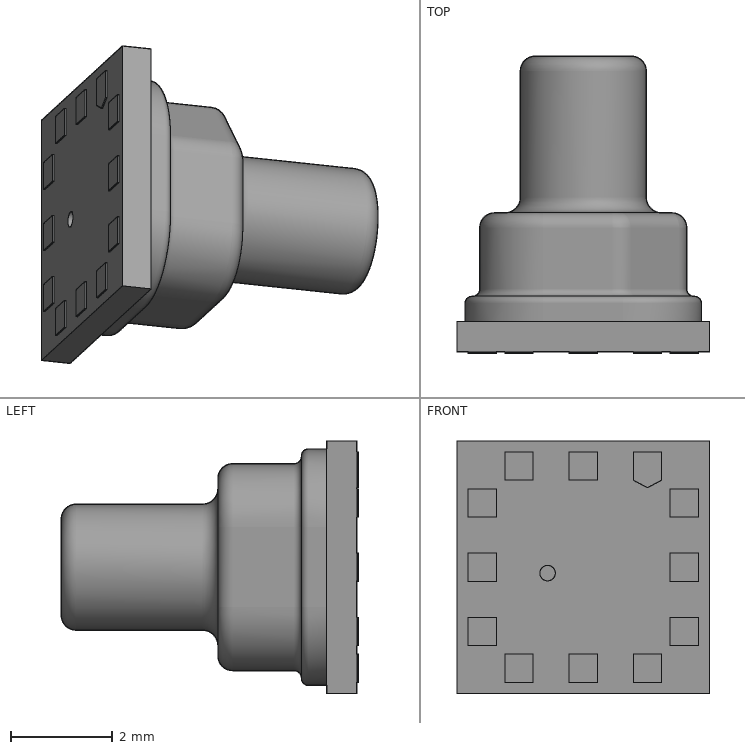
import cadquery as cq

total_length = 5.88
pad_height = 0.03
plate_side = 5.0
plate_thickness = 0.6
flange_side = 4.68
flange_height = 0.5
body_side = 4.1
body_height = 1.65
tube_diameter = 2.5

corner_center = 0.795
large_fillet = 0.3
small_fillet = 0.14
cut_corner_radius = 0.5

pad_side = 0.56
pad_pitch = 1.27
pad_row_offset = 2.0
pad_point_height = 0.145
vent_diameter = 0.305
vent_depth = plate_thickness
vent_x = -0.705
vent_z = -0.12

flange_start = plate_thickness
body_start = flange_start + flange_height
tube_start = body_start + body_height
tube_height = total_length - pad_height - tube_start


def sketch_at(y):
    """Sketch plane at height y with local axes X and Z; negative extrusions grow toward +Y."""
    return cq.Workplane("XZ", origin=(0, y, 0))


def square_block(side, start, height):
    return sketch_at(start).rect(side, side).extrude(-height)


def make_flange():
    """Square flange with four round corners and a rounded top edge."""
    flange = square_block(flange_side, flange_start, flange_height)
    flange = flange.edges("|Y").fillet(flange_side / 2 - corner_center)
    return flange.faces(">Y").edges().fillet(small_fillet)


def make_body():
    """Square body with three round corners; the +X +Z corner is cut off at 45 degrees."""
    corner_size = body_side / 2 - corner_center
    body = square_block(body_side, body_start, body_height)
    body = body.edges("|Y and (<X or <Z)").fillet(corner_size)
    body = body.edges("|Y and >X and >Z").chamfer(corner_size)
    body = body.faces(">(1, 0, 1)").edges("|Y").fillet(cut_corner_radius)
    return body.faces(">Y").edges().fillet(large_fillet)


def make_tube():
    """Round tube with a rounded tip."""
    tube = sketch_at(tube_start).circle(tube_diameter / 2).extrude(-tube_height)
    return tube.faces(">Y").edges().fillet(large_fillet)


def fillet_root(solid, y, width, radius):
    """Fill the inside corner at height y around a feature of the given width."""
    margin = small_fillet / 2
    reach = width / 2 + margin
    lower_corner = (-reach, y - margin, -reach)
    upper_corner = (reach, y + margin, reach)
    root_box = cq.selectors.BoxSelector(lower_corner, upper_corner, boundingbox=True)
    return solid.edges(root_box).fillet(radius)


def make_pads():
    """Three square pads along each side; the one at +X +Z ends in a point toward the center."""
    steps = [-pad_pitch, 0, pad_pitch]
    rows = [-pad_row_offset, pad_row_offset]
    centers = [(x, z) for x in steps for z in rows]
    centers += [(x, z) for x in rows for z in steps]
    pads = sketch_at(0).pushPoints(centers).rect(pad_side, pad_side).extrude(pad_height)

    point_base = pad_row_offset - pad_side / 2
    point = (
        sketch_at(0)
        .moveTo(pad_pitch - pad_side / 2, point_base)
        .lineTo(pad_pitch + pad_side / 2, point_base)
        .lineTo(pad_pitch, point_base - pad_point_height)
        .close()
        .extrude(pad_height)
    )
    return pads.union(point)


def make_vent():
    """Vent hole from the pad face through the base plate."""
    return sketch_at(0).center(vent_x, vent_z).circle(vent_diameter / 2).extrude(-vent_depth)


plate = square_block(plate_side, 0, plate_thickness)
housing = make_flange().union(make_body()).union(make_tube())
housing = fillet_root(housing, tube_start, tube_diameter, large_fillet)
housing = fillet_root(housing, body_start, body_side, small_fillet)

result = plate.union(housing).union(make_pads()).cut(make_vent())